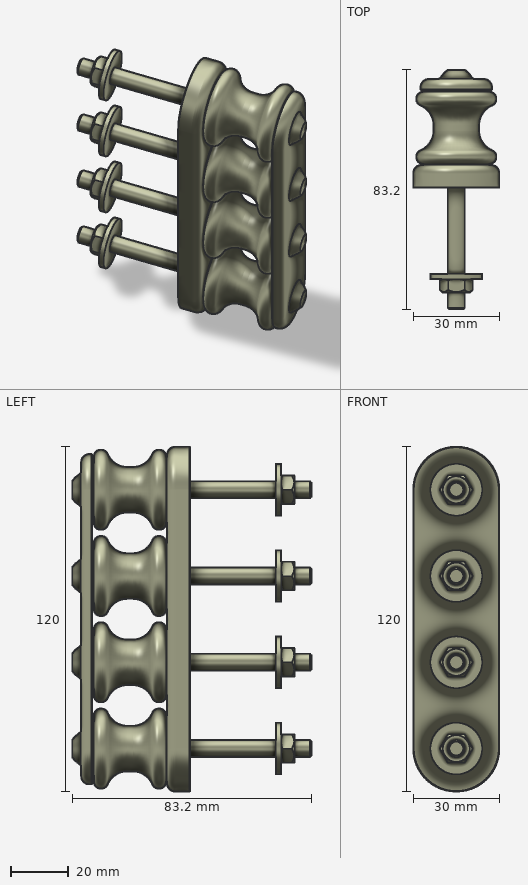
import cadquery as cq
import math

post_count = 4
post_pitch = 30.0

base_width = 30.0
base_thickness = 8.0
strip_width = 25.0
strip_thickness = 4.0
bar_fillet = 3.0
base_chamfer = 0.2
strip_chamfer = 0.4

roller_length = 25.2
roller_diameter = 28.0
neck_diameter = 16.0
neck_land = 2.2
rim_radius = 2.5
foot_height = 0.2
foot_diameter = roller_diameter - 2 * rim_radius
spacer_diameter = 18.7
spacer_thickness = 0.5

bolt_diameter = 6.0
bolt_tip_chamfer = 0.6
bolt_reach = 42.2
head_height = 3.1
head_top_diameter = 6.0
head_shoulder_diameter = 10.5
head_base_diameter = 12.0
head_base_height = 0.7
head_bulge = 0.18
washer_diameter = 18.0
washer_thickness = 1.8
washer_offset = 29.9
nut_flats = 10.0
nut_height = 4.8
nut_tip_chamfer = 1.1
nut_seat_chamfer = 0.5

roller_start = base_thickness + foot_height
roller_middle = roller_start + roller_length / 2
roller_end = roller_start + roller_length
strip_start = roller_end + spacer_thickness
strip_end = strip_start + strip_thickness
head_end = strip_end + head_height
post_span = (post_count - 1) * post_pitch


def bar(width, thickness, start, chamfer):
    """Round-ended bar, filleted on its +Y rim and finely chamfered on its -Y rim."""
    outline = cq.Workplane("XZ", origin=(0, start, 0)).slot2D(post_span + width, width, 90)
    body = outline.extrude(-thickness)
    body = body.faces(">Y").edges().fillet(bar_fillet)
    return body.faces("<Y").edges().chamfer(chamfer)


def disc(diameter, start, length):
    """Cylinder on the Y axis reaching from start toward +Y."""
    return cq.Workplane("XZ", origin=(0, start, 0)).circle(diameter / 2).extrude(-length)


def roller():
    """Spool whose half-round rims run tangentially into a concave neck."""
    neck = neck_diameter / 2
    rim_center_x = roller_diameter / 2 - rim_radius
    rim_y = roller_length / 2 - rim_radius
    land_y = neck_land / 2

    run = rim_y - land_y
    rise = rim_center_x - neck
    neck_arc = (run**2 + rise**2 - rim_radius**2) / (2 * (rise + rim_radius))
    neck_center_x = neck + neck_arc

    tilt = math.atan2(neck_center_x - rim_center_x, run)
    tangent_x = rim_center_x + rim_radius * math.sin(tilt)
    tangent_y = rim_y - rim_radius * math.cos(tilt)
    sweep_mid = (math.pi / 2 + tilt) / 2
    neck_mid_x = neck_center_x - neck_arc * math.sin(sweep_mid)
    neck_mid_y = land_y + neck_arc * math.cos(sweep_mid)

    rim_mid = tilt / 2
    end_y = roller_length / 2
    rim_tip_x = rim_center_x + rim_radius * math.cos(rim_mid)
    rim_tip_y = rim_y + rim_radius * math.sin(rim_mid)

    half_profile = (
        cq.Workplane("XY")
        .lineTo(neck, 0)
        .lineTo(neck, land_y)
        .threePointArc((neck_mid_x, neck_mid_y), (tangent_x, tangent_y))
        .threePointArc((rim_tip_x, rim_tip_y), (rim_center_x, end_y))
        .lineTo(0, end_y)
        .close()
    )
    half = half_profile.revolve(360, (0, 0, 0), (0, 1, 0))
    return half.union(half.mirror("XZ")).translate((0, roller_middle, 0))


def bolt():
    """Shank with a chamfered tip and a bulged head on a flared foot."""
    shank = disc(bolt_diameter, -bolt_reach, bolt_reach + strip_end)
    shank = shank.faces("<Y").edges().chamfer(bolt_tip_chamfer)
    shoulder_radius = head_shoulder_diameter / 2
    shoulder_y = strip_end + head_base_height
    top_radius = head_top_diameter / 2
    slope = math.atan2(shoulder_radius - top_radius, head_end - shoulder_y)
    bulge_x = (shoulder_radius + top_radius) / 2 + head_bulge * math.cos(slope)
    bulge_y = (shoulder_y + head_end) / 2 + head_bulge * math.sin(slope)
    head = (
        cq.Workplane("XY")
        .moveTo(0, strip_end)
        .lineTo(head_base_diameter / 2, strip_end)
        .lineTo(shoulder_radius, shoulder_y)
        .threePointArc((bulge_x, bulge_y), (top_radius, head_end))
        .lineTo(0, head_end)
        .close()
        .revolve(360, (0, 0, 0), (0, 1, 0))
    )
    return shank.union(head)


def nut():
    """Hexagonal nut seated on the washer, its corners turned off at both ends."""
    corners = nut_flats / math.cos(math.pi / 6)
    end = -washer_offset - washer_thickness - nut_height
    hexagon = cq.Workplane("XZ", origin=(0, end, 0)).polygon(6, corners).extrude(-nut_height)
    seat_inset = (corners - nut_flats) / 2
    turned = disc(corners, end, nut_height)
    turned = turned.faces("<Y").edges().chamfer(nut_tip_chamfer)
    turned = turned.faces(">Y").edges().chamfer(nut_seat_chamfer, seat_inset)
    return hexagon.intersect(turned)


post = (
    bolt()
    .union(roller())
    .union(disc(foot_diameter, base_thickness, foot_height))
    .union(disc(spacer_diameter, roller_end, spacer_thickness))
    .union(disc(washer_diameter, -washer_offset - washer_thickness, washer_thickness))
    .union(nut())
)

base = bar(base_width, base_thickness, 0, base_chamfer)
strip = bar(strip_width, strip_thickness, strip_start, strip_chamfer)
result = base.union(strip)
for index in range(post_count):
    result = result.union(post.translate((0, 0, index * post_pitch - post_span / 2)))